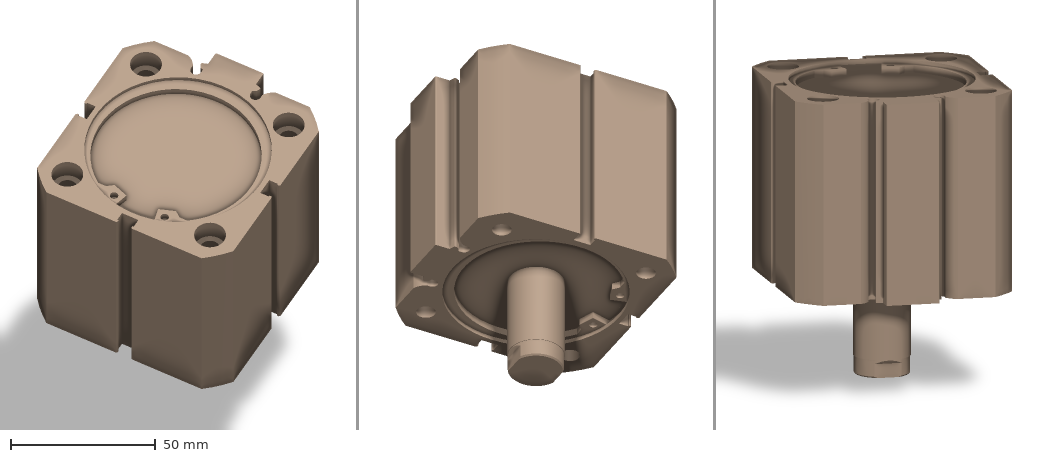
import cadquery as cq
import math


overall_height = 104
body_width = 77.5
body_height = 71.0
corner_radius = 49.4
bore_radius = 32.5
half_width = body_width / 2

mount_spacing = 56.4
mount_hole_diameter = 6.9
counterbore_diameter = 11.0
counterbore_depth = 7.3

slot_depth = 4.5
slot_half_width = 3.2
mouth_half_width = 2.7
mouth_chamfer = 0.4
lip_depth = 1
slot_floor = half_width - slot_depth

overall_depth = 83.0
rail_half_width = 9.5
rail_edge_radius = 0.4
rail_top = overall_depth - half_width
hook_tip_x = 11.6
hook_tip_top_y = 38.0
hook_tip_bottom_y = 37.2
hook_root_x = 11.0
hook_root_y = 36.0
groove_inner_x = 9.8
groove_outer_x = 13.7
groove_wall_top_y = 35.6
groove_radius = (groove_outer_x - groove_inner_x) / 2
groove_center_y = 34.2
flare_mid = (15.2, 37.4)
flare_end_x = 17.3

ring_thickness = 2.5
ring_inset = 1.5
ring_outer_diameter = 68.0
ring_outer_radius = ring_outer_diameter / 2
ring_inner_radius = 29.6
ring_inner_offset = 1.5
lug_shoulder_y = -25.3
lug_shoulder_x = 14.5
lug_inner_corner = (12.2, -23.4)
lug_gap_corner = (6.2, -25.6)
gap_end = (8.6, -34.8)
lug_hole_center = (10.0, -27.7)
lug_hole_diameter = 2.9

cover_thickness = 10.4
cover_outer_face = ring_inset + ring_thickness

rod_radius = 10.0
rod_reach = overall_height - body_height
neck_radius = 9.8
neck_length = 6.5
tip_chamfer = 0.5
flat_half_spacing = 8.5


def make_slot():
    """Cutter for the slot on the +X face, with a narrow chamfered mouth."""
    lip_inner = half_width - lip_depth
    chamfer_inner = half_width - mouth_chamfer
    return (
        cq.Workplane("XY")
        .moveTo(slot_floor, 0)
        .lineTo(slot_floor, slot_half_width)
        .lineTo(lip_inner, slot_half_width)
        .lineTo(lip_inner, mouth_half_width)
        .lineTo(chamfer_inner, mouth_half_width)
        .lineTo(half_width, mouth_half_width + mouth_chamfer)
        .lineTo(half_width, 0)
        .mirrorX()
        .extrude(body_height)
    )


def make_rail_groove():
    """Cutter for the round-bottomed groove on the +X side of the rail."""
    groove_center_x = (groove_inner_x + groove_outer_x) / 2
    return (
        cq.Workplane("XY")
        .moveTo(rail_half_width, half_width)
        .lineTo(hook_tip_x, hook_tip_top_y)
        .lineTo(hook_tip_x, hook_tip_bottom_y)
        .lineTo(hook_root_x, hook_root_y)
        .lineTo(groove_inner_x, groove_wall_top_y)
        .lineTo(groove_inner_x, groove_center_y)
        .threePointArc(
            (groove_center_x, groove_center_y - groove_radius),
            (groove_outer_x, groove_center_y),
        )
        .lineTo(groove_outer_x, groove_wall_top_y)
        .threePointArc(flare_mid, (flare_end_x, half_width))
        .close()
        .extrude(body_height)
    )


def make_rail():
    """Bar that stands out from the +Y face over the full height."""
    bar = cq.Workplane("XY").box(
        2 * rail_half_width, rail_top, body_height, centered=(True, False, False)
    )
    return bar.edges("|Z and >Y").fillet(rail_edge_radius)


def make_housing(ring_levels):
    housing = cq.Workplane("XY").rect(body_width, body_width).extrude(body_height)
    corner_limit = cq.Workplane("XY").circle(corner_radius).extrude(body_height)
    housing = housing.intersect(corner_limit).union(make_rail())

    for angle in (0, 180, 270):
        housing = housing.cut(make_slot().rotate((0, 0, 0), (0, 0, 1), angle))

    groove = make_rail_groove()
    housing = housing.cut(groove).cut(groove.mirror("YZ"))

    housing = (
        housing.faces(">Z")
        .workplane(origin=(0, 0, body_height))
        .rect(mount_spacing, mount_spacing, forConstruction=True)
        .vertices()
        .cboreHole(mount_hole_diameter, counterbore_diameter, counterbore_depth)
    )

    housing = housing.cut(cq.Workplane("XY").circle(bore_radius).extrude(body_height))
    for level in ring_levels:
        ring_groove = cq.Workplane("XY", origin=(0, 0, level)).circle(ring_outer_radius)
        housing = housing.cut(ring_groove.extrude(ring_thickness))
    return housing


def make_retaining_ring(level):
    """Internal snap ring with its gap and two drilled lugs on the -Y side."""
    shoulder_rise = lug_shoulder_y + ring_inner_offset
    shoulder_start_x = math.sqrt(ring_inner_radius**2 - shoulder_rise**2)
    opening = (
        cq.Workplane("XY", origin=(0, 0, level))
        .moveTo(0, ring_inner_radius - ring_inner_offset)
        .threePointArc(
            (ring_inner_radius, -ring_inner_offset), (shoulder_start_x, lug_shoulder_y)
        )
        .lineTo(lug_shoulder_x, lug_shoulder_y)
        .lineTo(*lug_inner_corner)
        .lineTo(*lug_gap_corner)
        .lineTo(*gap_end)
        .lineTo(0, gap_end[1])
        .mirrorY()
        .extrude(ring_thickness)
    )
    hole_x, hole_y = lug_hole_center
    lug_holes = (
        cq.Workplane("XY", origin=(0, 0, level))
        .pushPoints([(hole_x, hole_y), (-hole_x, hole_y)])
        .circle(lug_hole_diameter / 2)
        .extrude(ring_thickness)
    )
    disc = cq.Workplane("XY", origin=(0, 0, level)).circle(ring_outer_radius)
    return disc.extrude(ring_thickness).cut(opening).cut(lug_holes)


def make_head_cover():
    """Plain disc that closes the top of the bore."""
    top = body_height - cover_outer_face
    return cq.Workplane("XY", origin=(0, 0, top)).circle(bore_radius).extrude(-cover_thickness)


def make_rod_cover():
    """Disc at the bottom of the bore that guides the piston rod."""
    return (
        cq.Workplane("XY", origin=(0, 0, cover_outer_face))
        .circle(bore_radius)
        .circle(rod_radius)
        .extrude(cover_thickness)
    )


def make_flat_cutter():
    """Cutter for the wrench flat on the +Y side; its upper end slopes out at 45 degrees."""
    run_out = rod_radius - flat_half_spacing
    neck_top = neck_length - rod_reach
    return (
        cq.Workplane("YZ")
        .moveTo(flat_half_spacing, -rod_reach)
        .lineTo(flat_half_spacing, neck_top - run_out)
        .lineTo(rod_radius, neck_top)
        .lineTo(rod_radius, -rod_reach)
        .close()
        .extrude(rod_radius, both=True)
    )


def make_piston_rod():
    """Rod from the head cover down to a slightly thinner neck with two wrench flats."""
    rod_top = body_height - cover_outer_face - cover_thickness
    neck_top = neck_length - rod_reach
    shank = cq.Workplane("XY", origin=(0, 0, neck_top)).circle(rod_radius).extrude(rod_top - neck_top)
    neck = cq.Workplane("XY", origin=(0, 0, -rod_reach)).circle(neck_radius).extrude(neck_length)
    neck = neck.faces("<Z").chamfer(tip_chamfer)
    flat = make_flat_cutter()
    return shank.union(neck).cut(flat).cut(flat.mirror("XZ"))


ring_levels = (ring_inset, body_height - ring_inset - ring_thickness)

housing = make_housing(ring_levels)
retaining_rings = [make_retaining_ring(level).val() for level in ring_levels]
head_cover = make_head_cover()
rod_cover = make_rod_cover()
piston_rod = make_piston_rod()

result = cq.Compound.makeCompound(
    [housing.val(), *retaining_rings, head_cover.val(), rod_cover.val(), piston_rod.val()]
)